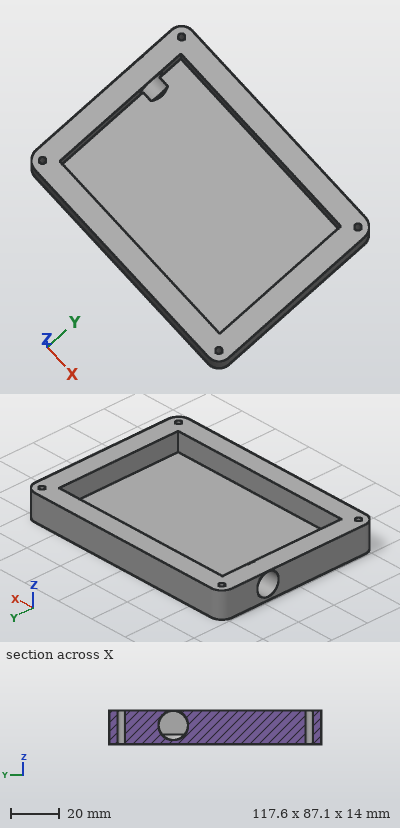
import cadquery as cq
import math

length = 117.63
width = 87.06
height = 14.0
corner_radius = 6.0

wall = 10.0
floor = 4.0

screw_diameter = 2.9
screw_inset = 5.0

port_diameter = 12.0
port_y = 17.22
port_z = 7.82
port_depth = 15.0
drill_point_angle = 120.0


def tray_body():
    blank = cq.Workplane("XY").box(length, width, height, centered=(True, True, False))
    return blank.edges("|Z").fillet(corner_radius)


def pocket():
    pocket_length = length - 2 * wall
    pocket_width = width - 2 * wall
    return (
        cq.Workplane("XY")
        .workplane(offset=floor)
        .rect(pocket_length, pocket_width)
        .extrude(height - floor)
    )


def screw_holes():
    return (
        cq.Workplane("XY")
        .rect(length - 2 * screw_inset, width - 2 * screw_inset, forConstruction=True)
        .vertices()
        .circle(screw_diameter / 2)
        .extrude(height)
    )


def cable_port():
    radius = port_diameter / 2
    tip_length = radius / math.tan(math.radians(drill_point_angle / 2))
    half_profile = (
        cq.Workplane("XY", origin=(-length / 2, port_y, port_z))
        .lineTo(0, radius)
        .lineTo(port_depth, radius)
        .lineTo(port_depth + tip_length, 0)
        .close()
    )
    return half_profile.revolve(360, (0, 0), (1, 0))


result = tray_body().cut(pocket()).cut(screw_holes()).cut(cable_port())